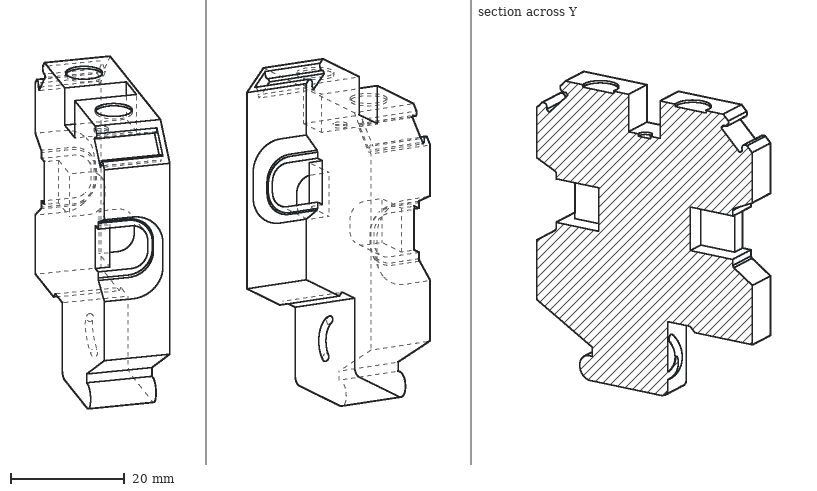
import cadquery as cq
import math

WIDTH = 45.0
THICKNESS = 12.0
HEIGHT = 55.0
MID_X = WIDTH / 2
TOP_CHAMFER = 6.05

SHOULDER_Z = 13.05
STEP_X = 12.0
STEP_RISE = 1.0
FOOT_LEFT = 17.55
FOOT_CORNER_RADIUS = 1.5
HOOK_NECK_X = 33.45
HOOK_NECK_TOP = 6.3
HOOK_NECK_BOTTOM = 4.7
HOOK_TIP_X = 36.0
HOOK_TIP_Z = 2.7
HOOK_ROUND_X = 34.0
ARC_SHARE = math.sqrt(0.5)

SLOT_WIDTH = 6.55
SLOT_DEPTH = 7.0
SLOT_BACK_WALL = 0.7
SCREW_DIAMETER = 6.5
SCREW_OFFSET_X = 9.6
SCREW_Y = 5.35
PIN_DIAMETER = 2.5
PIN_Y = 5.7
RECESS_DEPTH = 0.45

MARKER_HALF_LENGTH = 2.75
MARKER_DEPTH = 2.15
MARKER_REACH_Y = 11.0
BUMP_HEIGHT = 0.55
BUMP_LENGTH = 1.5

FUNNEL_MOUTH = (0.0, 24.15, 39.55, 10.7, 5.5)
FUNNEL_THROAT = (3.85, 26.75, 37.75, 10.05, 4.55)
FUNNEL_END = (4.05, 27.1, 37.4, 9.9, 4.4)
BORE_BOTTOM = 28.25
BORE_TOP = 36.3
BORE_REACH_Y = 9.1
BORE_RADIUS = 3.0
BORE_LEDGE_INSET = 5.85
BORE_LEDGE_Y = 2.65
BORE_END_INSET = MID_X - SCREW_OFFSET_X

RING_RADIUS = 4.05
WIRE_RADIUS = 0.63
RING_X = 19.8
RING_Y = 5.45
RING_Z = 7.35
RING_TILT = 6.7


def make_body():
    """Side outline with the rail foot, extruded through the thickness."""
    corner = FOOT_CORNER_RADIUS
    corner_mid = corner * (1 - ARC_SHARE)
    hook_run = HOOK_TIP_X - HOOK_ROUND_X
    hook_arc_x = HOOK_ROUND_X + hook_run * ARC_SHARE
    hook_rise = HOOK_NECK_BOTTOM - HOOK_TIP_Z
    outline = (
        cq.Workplane("XZ")
        .moveTo(0, SHOULDER_Z)
        .lineTo(STEP_X, SHOULDER_Z)
        .lineTo(STEP_X + STEP_RISE, SHOULDER_Z + STEP_RISE)
        .lineTo(FOOT_LEFT, SHOULDER_Z + STEP_RISE)
        .lineTo(FOOT_LEFT, corner)
        .threePointArc((FOOT_LEFT + corner_mid, corner_mid), (FOOT_LEFT + corner, 0))
        .lineTo(HOOK_ROUND_X, 0)
        .threePointArc((hook_arc_x, HOOK_TIP_Z * (1 - ARC_SHARE)), (HOOK_TIP_X, HOOK_TIP_Z))
        .threePointArc((hook_arc_x, HOOK_TIP_Z + hook_rise * ARC_SHARE), (HOOK_ROUND_X, HOOK_NECK_BOTTOM))
        .lineTo(HOOK_NECK_X, HOOK_NECK_BOTTOM)
        .lineTo(HOOK_NECK_X, HOOK_NECK_TOP)
        .lineTo(WIDTH, SHOULDER_Z)
        .lineTo(WIDTH, HEIGHT - TOP_CHAMFER)
        .lineTo(WIDTH - TOP_CHAMFER, HEIGHT)
        .lineTo(TOP_CHAMFER, HEIGHT)
        .lineTo(0, HEIGHT - TOP_CHAMFER)
        .close()
    )
    return outline.extrude(-THICKNESS)


def make_block(x_min, x_max, y_min, y_max, z_min, z_max):
    size = (x_max - x_min, y_max - y_min, z_max - z_min)
    return cq.Workplane("XY").box(*size, centered=False).translate((x_min, y_min, z_min))


def make_recess(diameter, x, y, top_z):
    """Shallow round recess below top_z."""
    disc = cq.Workplane("XY").circle(diameter / 2).extrude(-RECESS_DEPTH)
    return disc.translate((x, y, top_z))


def make_marker_pocket():
    """Pocket square to the left slope, with a rounded bump on each end wall."""
    plane = cq.Plane(
        origin=(TOP_CHAMFER / 2, 0, HEIGHT - TOP_CHAMFER / 2),
        xDir=(1, 0, 1),
        normal=(0, -1, 0),
    )
    half = MARKER_HALF_LENGTH
    bump_crest = half - BUMP_HEIGHT
    return (
        cq.Workplane(plane)
        .moveTo(-half, 0)
        .lineTo(half, 0)
        .threePointArc((bump_crest, -BUMP_LENGTH / 2), (half, -BUMP_LENGTH))
        .lineTo(half, -MARKER_DEPTH)
        .lineTo(-half, -MARKER_DEPTH)
        .lineTo(-half, -BUMP_LENGTH)
        .threePointArc((-bump_crest, -BUMP_LENGTH / 2), (-half, 0))
        .close()
        .extrude(-MARKER_REACH_Y)
    )


def entry_section(inset, bottom, top, reach, radius):
    """Section across X, open at the front face and rounded at the back."""
    corner_mid = radius * (1 - ARC_SHARE)
    return (
        cq.Workplane("YZ", origin=(inset, 0, 0))
        .moveTo(0, bottom)
        .lineTo(reach - radius, bottom)
        .threePointArc((reach - corner_mid, bottom + corner_mid), (reach, bottom + radius))
        .lineTo(reach, top - radius)
        .threePointArc((reach - corner_mid, top - corner_mid), (reach - radius, top))
        .lineTo(0, top)
        .close()
    )


def make_funnel_part(outer, inner):
    wires = [entry_section(*section).wires().val() for section in (outer, inner)]
    return cq.Workplane(obj=cq.Solid.makeLoft(wires, True))


def make_wire_entry():
    """Left wire entry: tapered funnel, then a bore with a ledge near the front."""
    bore = entry_section(0, BORE_BOTTOM, BORE_TOP, BORE_REACH_Y, BORE_RADIUS).extrude(BORE_END_INSET)
    ledge = make_block(BORE_LEDGE_INSET, BORE_END_INSET, 0, BORE_LEDGE_Y, BORE_BOTTOM, BORE_TOP)
    funnel = make_funnel_part(FUNNEL_MOUTH, FUNNEL_THROAT)
    lip = make_funnel_part(FUNNEL_THROAT, FUNNEL_END)
    return bore.cut(ledge).union(funnel).union(lip)


def mirror_across_middle(shape):
    return shape.mirror("YZ", (MID_X, 0, 0))


def make_ring():
    """Wire ring half buried in the left side of the foot, slightly tilted."""
    ring = cq.Solid.makeTorus(RING_RADIUS, WIRE_RADIUS, cq.Vector(0, 0, 0), cq.Vector(0, 1, 0))
    ring = ring.rotate(cq.Vector(0, 0, 0), cq.Vector(1, 0, 0), RING_TILT)
    return cq.Workplane(obj=ring.translate(cq.Vector(RING_X, RING_Y, RING_Z)))


result = make_body()

screw_recess = make_recess(SCREW_DIAMETER, MID_X - SCREW_OFFSET_X, SCREW_Y, HEIGHT)
for cutter in (make_marker_pocket(), make_wire_entry(), screw_recess):
    result = result.cut(cutter).cut(mirror_across_middle(cutter))

slot_floor = HEIGHT - SLOT_DEPTH
slot_left = MID_X - SLOT_WIDTH / 2
slot_right = MID_X + SLOT_WIDTH / 2
result = result.cut(make_block(slot_left, slot_right, 0, THICKNESS - SLOT_BACK_WALL, slot_floor, HEIGHT))
result = result.cut(make_recess(PIN_DIAMETER, MID_X, PIN_Y, slot_floor))

result = result.union(make_ring())